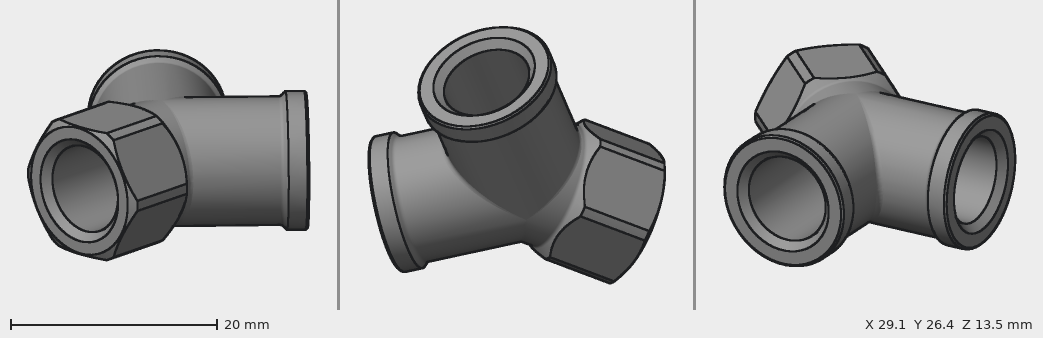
import cadquery as cq
import math

branch_angle = 45.0
pipe_radius = 6.25
bore_radius = 4.33
mouth_radius = 5.15
blend_radius = 0.5

branch_length = 14.0
collar_radius = 6.75
collar_width = 2.0
collar_edge = 0.2

inlet_length = 11.83
hex_length = 7.55
hex_flats = 13.02
hex_turn = 30.0
hex_corner_radius = 7.25
hex_face_radius = 6.4
hex_face_angle = 30.0

half_turn = math.radians(45.0 / 2)


def revolve_arm(profile):
    """Revolve a (radius, distance) profile about the +Y axis."""
    return cq.Workplane("XY").polyline(profile).close().revolve(360, (0, 0, 0), (0, 1, 0))


def to_inlet(arm):
    """Turn an arm from +Y to -Y."""
    return arm.rotate((0, 0, 0), (0, 0, 1), 180)


def to_branch(arm, side):
    """Tilt an arm from +Y towards +X (side 1) or -X (side -1)."""
    return arm.rotate((0, 0, 0), (0, 0, 1), -side * branch_angle)


def shoulder_blend(large_radius, shoulder_distance):
    """Concave blend ring between the pipe and a 45-degree shoulder."""
    corner = shoulder_distance - (large_radius - pipe_radius)
    tangent = blend_radius * math.tan(half_turn)
    arc_start = corner - tangent
    leg = tangent * math.sqrt(0.5)
    arc_offset = blend_radius * math.sqrt(0.5)
    arc_mid = (
        pipe_radius + blend_radius * (1 - math.cos(half_turn)),
        arc_start + blend_radius * math.sin(half_turn),
    )
    return (
        cq.Workplane("XY")
        .moveTo(bore_radius, arc_start)
        .lineTo(pipe_radius, arc_start)
        .threePointArc(arc_mid, (pipe_radius + leg, arc_start + arc_offset))
        .lineTo(bore_radius, arc_start + arc_offset)
        .close()
        .revolve(360, (0, 0, 0), (0, 1, 0))
    )


def pipe(length):
    """Solid pipe along +Y from the origin."""
    return cq.Workplane("XZ").circle(pipe_radius).extrude(-length)


def make_body():
    """Union of the three plain pipes."""
    body = to_inlet(pipe(inlet_length))
    for side in (-1, 1):
        body = body.union(to_branch(pipe(branch_length - collar_width), side))
    return body


def make_collar():
    """Branch end ring with a 45-degree shoulder and a chamfered rim."""
    shoulder = branch_length - collar_width
    start = shoulder - (collar_radius - pipe_radius)
    profile = [
        (0, start),
        (pipe_radius, start),
        (collar_radius, shoulder),
        (collar_radius, branch_length - collar_edge),
        (collar_radius - collar_edge, branch_length),
        (0, branch_length),
    ]
    return revolve_arm(profile).union(shoulder_blend(collar_radius, shoulder))


def make_hex():
    """Hexagon with rounded corners, a 45-degree shoulder and a chamfered face."""
    shoulder = inlet_length - hex_length
    start = shoulder - (hex_corner_radius - pipe_radius)
    face_chamfer = (hex_corner_radius - hex_face_radius) * math.tan(math.radians(hex_face_angle))
    envelope = revolve_arm([
        (0, start),
        (pipe_radius, start),
        (hex_corner_radius, shoulder),
        (hex_corner_radius, inlet_length - face_chamfer),
        (hex_face_radius, inlet_length),
        (0, inlet_length),
    ])
    hexagon = (
        cq.Workplane("XZ")
        .transformed(rotate=(0, 0, hex_turn))
        .polygon(6, hex_flats, circumscribed=True)
        .extrude(-inlet_length)
    )
    return envelope.intersect(hexagon).union(shoulder_blend(hex_corner_radius, shoulder))


def make_bore(length):
    """Bore along +Y with a 45-degree countersunk mouth."""
    mouth_depth = mouth_radius - bore_radius
    return revolve_arm([
        (0, 0),
        (bore_radius, 0),
        (bore_radius, length - mouth_depth),
        (mouth_radius, length),
        (0, length),
    ])


fitting = make_body().union(to_inlet(make_hex()))
bores = to_inlet(make_bore(inlet_length))
for side in (-1, 1):
    fitting = fitting.union(to_branch(make_collar(), side))
    bores = bores.union(to_branch(make_bore(branch_length), side))

fitting = fitting.edges("%ELLIPSE").fillet(blend_radius)

result = fitting.cut(bores)